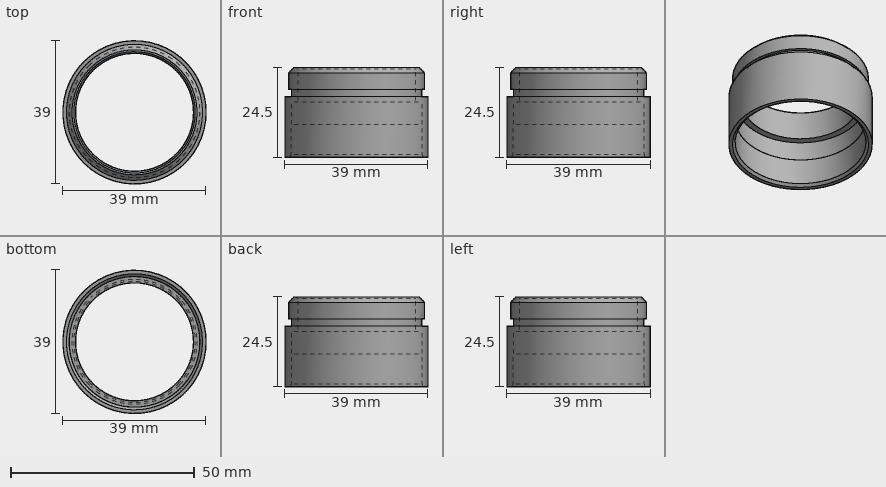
import cadquery as cq

height = 24.5
body_diameter = 39.0

collar_diameter = 37.0
collar_height = 6.0
collar_chamfer = 1.5
groove_diameter = 35.48
groove_width = 2.0

throat_diameter = 32.0
mouth_chamfer = 0.5

socket_diameter = 35.5
socket_depth = 15.0
entry_diameter = 35.55
entry_depth = 9.0
entry_rim_diameter = 37.0

collar_bottom = height - collar_height
body_top = collar_bottom - groove_width
mouth_diameter = throat_diameter + 2 * mouth_chamfer
entry_chamfer = (entry_rim_diameter - entry_diameter) / 2


def cylinder(diameter, bottom, top):
    """Vertical cylinder on the Z axis between two levels."""
    return cq.Workplane("XY").workplane(offset=bottom).circle(diameter / 2).extrude(top - bottom)


def flare(bottom_diameter, top_diameter, bottom, top):
    """Vertical cone frustum on the Z axis between two levels."""
    base_center = cq.Vector(0, 0, bottom)
    cone = cq.Solid.makeCone(bottom_diameter / 2, top_diameter / 2, top - bottom, pnt=base_center)
    return cq.Workplane("XY").add(cone)


def make_outside():
    """Solid body, groove core and chamfered collar stacked on one axis."""
    body = cylinder(body_diameter, 0, body_top)
    groove_core = cylinder(groove_diameter, body_top, collar_bottom)
    collar = cylinder(collar_diameter, collar_bottom, height).faces(">Z").chamfer(collar_chamfer)
    return body.union(groove_core).union(collar)


def make_bore():
    """Stepped bore: entry, socket and throat, chamfered at both ends."""
    throat = cylinder(throat_diameter, 0, height)
    socket = cylinder(socket_diameter, 0, socket_depth)
    entry = cylinder(entry_diameter, 0, entry_depth)
    mouth_flare = flare(throat_diameter, mouth_diameter, height - mouth_chamfer, height)
    entry_flare = flare(entry_rim_diameter, entry_diameter, 0, entry_chamfer)
    return throat.union(socket).union(entry).union(mouth_flare).union(entry_flare)


result = make_outside().cut(make_bore())